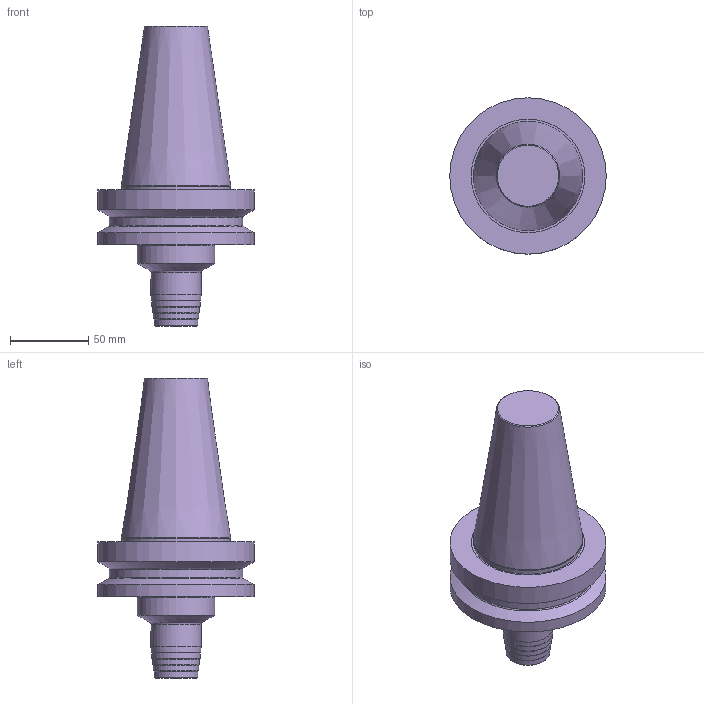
import cadquery as cq
import math

gauge_radius = 69.85 / 2
taper_length = 101.8
taper_slope = 7 / 24 / 2
taper_end_radius = gauge_radius - taper_length * taper_slope
taper_end_chamfer = 0.5

collar_land_bottom = -0.6
collar_step = 0.2
collar_radius = gauge_radius - collar_step
relief_outer_radius = 36.3
relief_depth = 0.5

flange_radius = 50.0
flange_top = -3.0
flange_bottom = -38.0
groove_center = -23.0
groove_half_width = 7.3
groove_floor_radius = 42.65
groove_flank_angle = math.radians(30)
groove_fillet = 1.0

shoulder_radius = 24.7
shoulder_bottom = -50.0
shoulder_root_fillet = 0.5
stem_radius = 16.0
stem_flank_angle = math.radians(30)
stem_fillet = 1.0

nose_top = -70.0
band_count = 5
band_pitch = 4.0
step_height = 0.6
step_depth = 0.45
end_step_depth = 0.6
band_taper = math.radians(0.8)
nose_bottom = nose_top - band_count * band_pitch


def revolve_profile(points):
    """Solid of revolution about Z from (radius, z) points."""
    return cq.Workplane("XZ").polyline(points).close().revolve(360, (0, 0, 0), (0, 1, 0))


def circle_at(radius, z):
    """Selector for the circular edge of the given radius and height."""
    margin = 0.05
    reach = radius + margin
    return cq.selectors.BoxSelector(
        (-reach, -reach, z - margin), (reach, reach, z + margin), boundingbox=True
    )


def make_shank():
    points = [
        (0, taper_length),
        (taper_end_radius, taper_length),
        (gauge_radius, 0),
        (gauge_radius, collar_land_bottom),
        (collar_radius, collar_land_bottom - collar_step),
        (collar_radius, flange_bottom),
        (0, flange_bottom),
    ]
    return revolve_profile(points).faces(">Z").chamfer(taper_end_chamfer)


def make_flange():
    flank_height = (flange_radius - groove_floor_radius) * math.tan(groove_flank_angle)
    floor_half_width = groove_half_width - flank_height
    relief_floor = flange_top - relief_depth
    floor_top = groove_center + floor_half_width
    floor_bottom = groove_center - floor_half_width
    points = [
        (0, relief_floor),
        (relief_outer_radius, relief_floor),
        (relief_outer_radius, flange_top),
        (flange_radius, flange_top),
        (flange_radius, groove_center + groove_half_width),
        (groove_floor_radius, floor_top),
        (groove_floor_radius, floor_bottom),
        (flange_radius, groove_center - groove_half_width),
        (flange_radius, flange_bottom),
        (0, flange_bottom),
    ]
    flange = revolve_profile(points)
    for z in (floor_top, floor_bottom):
        flange = flange.edges(circle_at(groove_floor_radius, z)).fillet(groove_fillet)
    return flange


def nose_outline():
    """Points down the stepped side of the nose, from its top to its end face."""
    points = [(stem_radius, nose_top)]
    band_drop = (band_pitch - step_height) * math.tan(band_taper)
    radius = stem_radius
    for index in range(band_count):
        band_bottom = nose_top - (index + 1) * band_pitch
        is_last = index == band_count - 1
        radius -= band_drop
        points.append((radius, band_bottom + step_height))
        radius -= end_step_depth if is_last else step_depth
        points.append((radius, band_bottom))
    return points


def make_stem():
    flank_bottom = shoulder_bottom - (shoulder_radius - stem_radius) * math.tan(stem_flank_angle)
    points = [
        (0, flange_bottom),
        (shoulder_radius, flange_bottom),
        (shoulder_radius, shoulder_bottom),
        (stem_radius, flank_bottom),
        *nose_outline(),
        (0, nose_bottom),
    ]
    stem = revolve_profile(points)
    return stem.edges(circle_at(stem_radius, flank_bottom)).fillet(stem_fillet)


result = make_shank().union(make_flange()).union(make_stem())
result = result.edges(circle_at(shoulder_radius, flange_bottom)).fillet(shoulder_root_fillet)